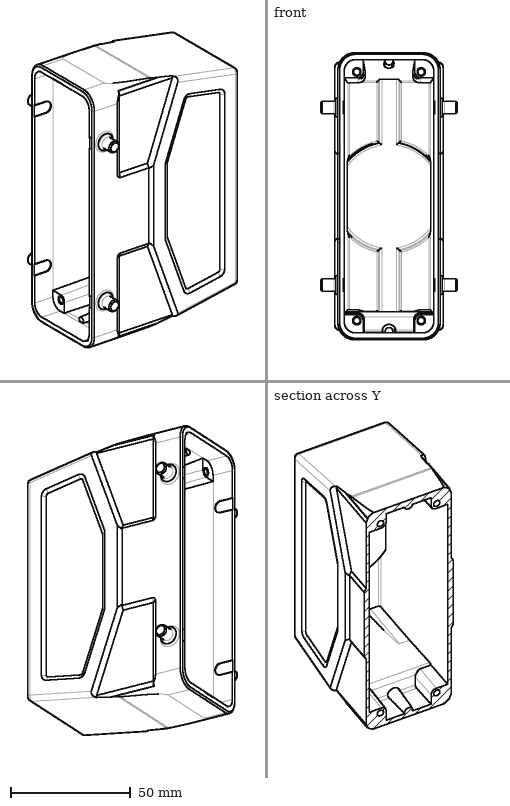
import cadquery as cq
import math


height = 120.0
depth = 76.0
body_half_x = 22.7
collar_half_x = 21.4
collar_corner_r = 7.2
collar_depth = 48.0
rim_chamfer = 0.7
body_edge_r = 2.0

straight_end_y = 11.3
draft_bend_y = 31.9
draft_bend_r = 10.8
front_draft = 5.5
rear_draft = 10.0

pad_x = 20.4
pad_front_y = 14.6
pad_low_z = 19.5
pad_bevel_z = 55.3
pad_high_z = 57.4
pad_high_x = 19.5
wall_slope = 62.0
step_slope = 49.0
step_y = 30.8
step_half_z = 18.7
chevron_tan = math.tan(math.radians(20.0))
chevron_run = 1.7
hull_half_z = 72.0

pocket_depth = 1.0
pocket_front_y = 37.0
pocket_back_y = 68.3
pocket_mid_z = 17.5
pocket_back_z = 43.3
pocket_corner_r = 2.9

mouth_half_x = 18.7
mouth_half_z = 57.1
mouth_corner_r = 4.8
mouth_depth = 9.6
floor_y = 73.2
floor_half_x = 17.3
floor_half_z = 48.2
floor_corner_r = 1.2
floor_fillet = 0.7
rib_height = 4.8
rib_half_x = 4.5
disc_r = 23.2
rib_draft = 8.0
rib_fillet = 1.0

sill_y = 30.0
sill_recess_half_z = 56.9
sill_round_r = 2.0
sill_recess_fillet = 1.1

post_x = 10.8
post_z = 49.5
post_back_x = 9.2
post_back_z = 47.4
post_corner_r = 2.4
post_back_corner_r = 3.6
screw_x = 13.5
screw_z = 52.0
screw_d = 2.8
screw_mouth_d = 3.5
screw_depth = 14.4
key_y = 10.2
key_z = 56.4
key_tip_r = 1.5
key_back_r = 2.9

pin_y = 6.0
pin_z = 37.1
pin_d = 5.3
pin_tip_x = 28.5
pin_tip_chamfer = 0.6
pin_root_r = 3.8
pin_fillet_r = 0.8
pin_slot_depth = 0.4
pin_slot_overlap = 1.2


def y_prism(half_x, half_z, y0, y1):
    """Box centred on the Y axis between two depths."""
    return cq.Workplane("XY").box(2 * half_x, y1 - y0, 2 * half_z).translate((0, (y0 + y1) / 2, 0))


def rounded_frustum(rect0, y0, rect1, y1):
    """Loft along +Y between two rounded rectangles (centre x, centre z, half x, half z, radius)."""
    wires = []
    for (cx, cz, half_x, half_z, radius), y in ((rect0, y0), (rect1, y1)):
        block = y_prism(half_x, half_z, y, y + 1.2).edges("|Y").fillet(radius)
        wires.append(block.translate((cx, 0, cz)).faces("<Y").wires().val())
    return cq.Workplane(obj=cq.Solid.makeLoft(wires, True))


def both_sides(solid):
    """The solid together with its mirror image across X = 0."""
    return solid.union(solid.mirror("YZ"))


def both_ends(solid):
    """The solid together with its mirror image across Z = 0."""
    return solid.union(solid.mirror("XY"))


def end_wall_profile(half_x):
    """Hood silhouette in the YZ plane, with a rounded draft bend, spanning the X range +-half_x."""
    half_height = height / 2
    front_tan = math.tan(math.radians(front_draft))
    rear_tan = math.tan(math.radians(rear_draft))
    bend_z = half_height - (draft_bend_y - straight_end_y) * front_tan
    back_z = bend_z - (depth - draft_bend_y) * rear_tan
    tangent_length = draft_bend_r * math.tan(math.radians((rear_draft - front_draft) / 2))
    front_run = tangent_length * math.cos(math.radians(front_draft))
    rear_run = tangent_length * math.cos(math.radians(rear_draft))
    half = (cq.Workplane("YZ", origin=(-half_x, 0, 0))
            .lineTo(0, half_height)
            .lineTo(straight_end_y, half_height)
            .lineTo(draft_bend_y - front_run, bend_z + front_run * front_tan)
            .tangentArcPoint((draft_bend_y + rear_run, bend_z - rear_run * rear_tan), relative=False)
            .lineTo(depth, back_z)
            .lineTo(depth, 0)
            .close().extrude(2 * half_x))
    return both_ends(half)


def chevron_block():
    """Block that bounds the wide body, with sloped chevron walls on both sides."""
    slope = math.tan(math.radians(step_slope))
    inner_step_y = step_y - (body_half_x - pad_x) * slope

    def outline(middle_y, slant_shift):
        corner_z = step_half_z + (middle_y - step_y + slant_shift) / chevron_tan
        end_y = middle_y + (hull_half_z - corner_z) * chevron_tan
        far_y = depth + 1.2
        return [(far_y, -hull_half_z), (end_y, -hull_half_z), (middle_y, -corner_z),
                (middle_y, corner_z), (end_y, hull_half_z), (far_y, hull_half_z)]

    base = outline(inner_step_y, chevron_run)
    top = outline(step_y, 0)
    core = cq.Workplane("YZ").polyline(base).close().extrude(pad_x, both=True)
    side = (cq.Workplane("YZ", origin=(pad_x, 0, 0)).polyline(base).close()
            .workplane(offset=body_half_x - pad_x).polyline(top).close().loft(ruled=True))
    return core.union(both_sides(side))


def rear_body():
    """Wide drafted body with rounded edges, ending in the chevron step."""
    body = end_wall_profile(body_half_x)
    body = body.faces("<X or >X or >Y").edges("not <Y").fillet(body_edge_r)
    return body.intersect(chevron_block())


def corner_pad():
    """Cutter for one recessed pad: sloping walls, flat floor, floor bevelled near the hood's end."""
    recess = (cq.Workplane("YZ", origin=(pad_x, 0, 0))
              .moveTo((pad_front_y + collar_depth) / 2, (pad_low_z + pad_high_z) / 2)
              .rect(collar_depth - pad_front_y, pad_high_z - pad_low_z)
              .extrude(body_half_x - pad_x, taper=-wall_slope))
    bevel = (cq.Workplane("XZ", origin=(0, pad_front_y, 0))
             .polyline([(pad_x, pad_bevel_z), (pad_high_x, pad_high_z),
                        (body_half_x, pad_high_z), (body_half_x, pad_bevel_z)])
             .close().extrude(pad_front_y - collar_depth))
    return recess.union(bevel)


def collar():
    """Rounded collar around the mouth with four recessed pads."""
    tube = y_prism(collar_half_x, height / 2, 0, collar_depth).edges("|Y").fillet(collar_corner_r)
    tube = tube.faces("<Y").edges().chamfer(rim_chamfer)
    return tube.intersect(end_wall_profile(collar_half_x)).cut(both_ends(both_sides(corner_pad())))


def side_pocket():
    """Cutter for the shallow six-sided pocket in one side, walls sloping inward."""
    roof_tan = math.tan(math.radians(rear_draft))
    roof_at_front = pocket_back_z + (pocket_back_y - pocket_front_y) * roof_tan
    rise = (roof_at_front - pocket_mid_z) / (1 + roof_tan * chevron_tan)
    peak = (pocket_front_y + rise * chevron_tan, pocket_mid_z + rise)
    upper = [(pocket_front_y, pocket_mid_z), peak, (pocket_back_y, pocket_back_z)]
    lower = [(y, -z) for y, z in reversed(upper)]
    return (cq.Workplane("YZ", origin=(body_half_x, 0, 0)).polyline(upper + lower).close()
            .offset2D(-pocket_corner_r).offset2D(pocket_corner_r)
            .extrude(-pocket_depth, taper=wall_slope))


def floor_ribs():
    """Raised disc and centre rib on the cavity floor, drafted and rounded along the top."""
    foot = cq.Workplane("XZ", origin=(0, floor_y, 0))
    rib = foot.rect(2 * rib_half_x, height).extrude(rib_height, taper=rib_draft)
    disc = foot.circle(disc_r).extrude(rib_height, taper=rib_draft)
    return rib.union(disc).faces("<Y").edges().fillet(rib_fillet)


def main_cavity():
    """Straight mouth followed by the drafted cavity, with the ribs left standing on its floor."""
    mouth = (0, 0, mouth_half_x, mouth_half_z, mouth_corner_r)
    floor = (0, 0, floor_half_x, floor_half_z, floor_corner_r)
    drafted = rounded_frustum(mouth, mouth_depth, floor, floor_y)
    drafted = drafted.cut(floor_ribs())
    drafted = drafted.faces(">Y").edges().fillet(floor_fillet)
    straight = y_prism(mouth_half_x, mouth_half_z, -1.2, mouth_depth).edges("|Y").fillet(mouth_corner_r)
    return drafted.union(straight)


def sill():
    """Ledge that fills the bottom of the cavity behind the recess."""
    sill_height = height / 2 - floor_half_z
    ledge = cq.Workplane("XY").box(2 * body_half_x, depth - sill_y, sill_height)
    ledge = ledge.edges("<Y and >Z").fillet(sill_round_r)
    return ledge.translate((0, (sill_y + depth) / 2, -floor_half_z - sill_height / 2))


def sill_recess():
    """Recess between the bottom posts, ending at the front face of the sill."""
    recess = y_prism(post_x, sill_recess_half_z, mouth_depth, sill_y)
    recess = recess.faces(">Y").edges("<Z").fillet(sill_recess_fillet)
    lower_part = cq.Workplane("XY").box(height, height, height).translate((0, 0, -floor_half_z - height / 2))
    return recess.intersect(lower_part)


def corner_posts():
    """Four drafted screw posts standing on the cavity floor."""
    def section(x, z, radius):
        half_x = (collar_half_x + post_corner_r - x) / 2
        half_z = (height / 2 + post_corner_r - z) / 2
        return (x + half_x, z + half_z, half_x, half_z, radius)

    post = rounded_frustum(section(post_x, post_z, post_corner_r), mouth_depth,
                           section(post_back_x, post_back_z, post_back_corner_r), depth)
    return both_ends(both_sides(post))


def keys():
    """Tapered half-round keys on the top and bottom cavity walls."""
    cone = cq.Solid.makeCone(key_tip_r, key_back_r, sill_y - key_y,
                             cq.Vector(0, key_y, key_z), cq.Vector(0, 1, 0))
    return both_ends(cq.Workplane(obj=cone))


def screw_holes():
    """Blind pilot holes in the posts, countersunk at the mouth."""
    countersink = (screw_mouth_d - screw_d) / 2
    hole = (cq.Workplane("XY")
            .polyline([(0, 0), (screw_mouth_d / 2, 0), (screw_d / 2, countersink),
                       (screw_d / 2, screw_depth), (0, screw_depth)])
            .close().revolve(360, (0, 0), (0, 1)))
    return both_ends(both_sides(hole.translate((screw_x, mouth_depth, screw_z))))


def locking_pins():
    """Four round pins with a low filleted boss at the foot and a chamfered tip."""
    radius = pin_d / 2
    root_x = (mouth_half_x + collar_half_x) / 2
    boss_x = collar_half_x + pin_fillet_r
    reach = pin_fillet_r * (1 - math.sqrt(0.5))
    pin = (cq.Workplane("XY")
           .moveTo(root_x, 0)
           .lineTo(root_x, pin_root_r + pin_fillet_r)
           .lineTo(collar_half_x, pin_root_r + pin_fillet_r)
           .threePointArc((collar_half_x + reach, pin_root_r + reach), (boss_x, pin_root_r))
           .lineTo(boss_x, radius + pin_fillet_r)
           .threePointArc((boss_x + reach, radius + reach), (boss_x + pin_fillet_r, radius))
           .lineTo(pin_tip_x - pin_tip_chamfer, radius)
           .lineTo(pin_tip_x, radius - pin_tip_chamfer)
           .lineTo(pin_tip_x, 0)
           .close().revolve(360, (0, 0), (1, 0)))
    return both_ends(both_sides(pin.translate((0, pin_y, pin_z))))


def pin_slots():
    """Shallow round-ended slots inside the mouth, behind the pins."""
    slot = (cq.Workplane("YZ", origin=(mouth_half_x - pin_slot_overlap, 0, 0))
            .center(0, pin_z).slot2D(2 * pin_y + pin_d, pin_d)
            .extrude(pin_slot_overlap + pin_slot_depth))
    return both_ends(both_sides(slot))


def interior():
    """Everything hollow inside the hood."""
    hollow = main_cavity().cut(sill()).union(sill_recess()).cut(corner_posts())
    return hollow.cut(keys()).union(pin_slots())


shell = rear_body().union(collar()).cut(both_sides(side_pocket()))
result = shell.cut(interior()).union(locking_pins()).cut(screw_holes())